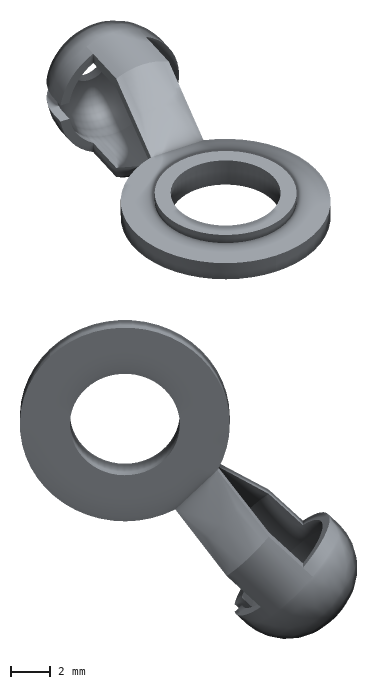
import cadquery as cq
import math

ring_radius = 5.25
layer_thickness = 0.5
collar_radius = 3.55
collar_height = 0.5
bore_radius = 2.75

cup_radius = 3.4
wall = 0.5
cup_round_radius = 3.0
rim_length = 0.7
tip_hole_radius = 1.1
slot_width = 1.0

strap_width = 3.0
strap_straight_length = 3.1
overall_length = 19.91

half_strap = strap_width / 2
inner_radius = cup_radius - wall
round_centre_radius = cup_radius - cup_round_radius
inner_round_radius = cup_round_radius - wall
hole_offset = tip_hole_radius - round_centre_radius
tip_x = ring_radius - overall_length
rim_start_x = tip_x + math.sqrt(cup_round_radius**2 - hole_offset**2)
rim_end_x = rim_start_x + rim_length
bend_x = rim_start_x + strap_straight_length
joint_x = -math.sqrt(ring_radius**2 - half_strap**2)


def make_ring():
    """Layers with a flat edge where the straps join, collar and bore."""
    upper_layer = cq.Workplane("XY").circle(ring_radius).extrude(layer_thickness)
    lower_layer = cq.Workplane("XY").circle(ring_radius).extrude(-layer_thickness)
    trim_length = ring_radius
    trim = (
        cq.Workplane("XY")
        .box(trim_length, 2 * ring_radius, 2 * layer_thickness)
        .translate((joint_x - trim_length / 2, 0, 0))
    )
    collar = (
        cq.Workplane("XY")
        .workplane(offset=layer_thickness)
        .circle(collar_radius)
        .extrude(collar_height)
    )
    bore_height = 2 * layer_thickness + collar_height
    bore = (
        cq.Workplane("XY")
        .workplane(offset=-layer_thickness)
        .circle(bore_radius)
        .extrude(bore_height)
    )
    layers = upper_layer.union(lower_layer, clean=False).cut(trim, clean=False)
    return layers.union(collar, clean=False).cut(bore, clean=False)


def make_cup():
    """Rounded shell turned about X, with the tip hole left open."""
    diagonal = math.sqrt(0.5)

    def round_mid(radius):
        return (rim_start_x - radius * diagonal, round_centre_radius + radius * diagonal)

    inner_tip_x = rim_start_x - math.sqrt(inner_round_radius**2 - hole_offset**2)
    shell = (
        cq.Workplane("XY")
        .moveTo(tip_x, tip_hole_radius)
        .threePointArc(round_mid(cup_round_radius), (rim_start_x, cup_radius))
        .lineTo(rim_end_x, cup_radius)
        .lineTo(rim_end_x, inner_radius)
        .lineTo(rim_start_x, inner_radius)
        .threePointArc(round_mid(inner_round_radius), (inner_tip_x, tip_hole_radius))
        .close()
        .revolve(360, (0, 0, 0), (1, 0, 0))
    )
    slot_length = rim_end_x - tip_x
    slot = (
        cq.Workplane("XY")
        .box(slot_length, cup_radius, slot_width)
        .translate((tip_x + slot_length / 2, -cup_radius / 2, 0))
    )
    return shell.cut(slot)


def strap_section(workplane):
    """Curved cross-section that continues the cup wall."""
    outer_edge_z = math.sqrt(cup_radius**2 - half_strap**2)
    inner_edge_z = math.sqrt(inner_radius**2 - half_strap**2)
    return (
        workplane.moveTo(-half_strap, outer_edge_z)
        .threePointArc((0, cup_radius), (half_strap, outer_edge_z))
        .lineTo(half_strap, inner_edge_z)
        .threePointArc((0, inner_radius), (-half_strap, inner_edge_z))
        .close()
    )


def make_strap():
    """Upper strap: straight curved length, then a taper to the flat ring layer."""
    straight = strap_section(cq.Workplane("YZ", origin=(rim_start_x, 0, 0))).extrude(strap_straight_length)
    taper = (
        strap_section(cq.Workplane("YZ", origin=(bend_x, 0, 0)))
        .workplane(offset=joint_x - bend_x)
        .moveTo(-half_strap, layer_thickness)
        .lineTo(half_strap, layer_thickness)
        .lineTo(half_strap, 0)
        .lineTo(-half_strap, 0)
        .close()
        .loft(ruled=True)
    )
    return straight.union(taper, clean=False)


upper_strap = make_strap()
lower_strap = upper_strap.mirror("XY")

cup = make_cup().cut(upper_strap, clean=False).cut(lower_strap, clean=False)

result = make_ring()
for piece in (upper_strap, lower_strap, cup):
    result = result.union(piece, clean=False)